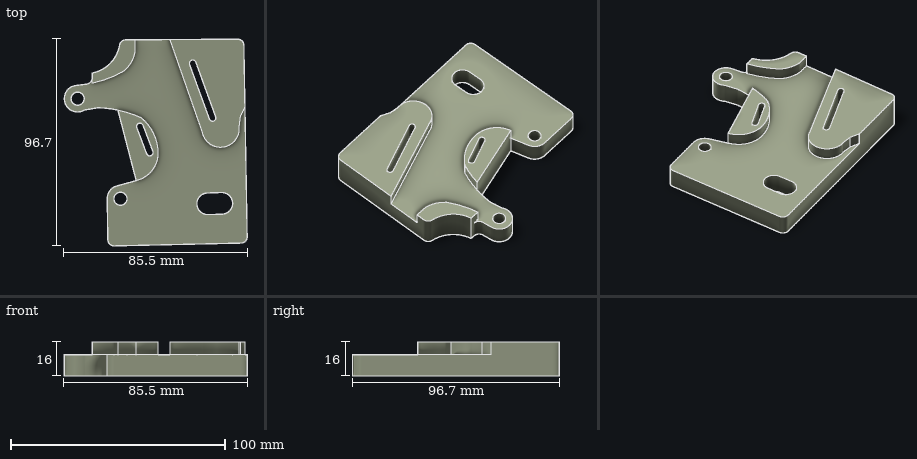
import cadquery as cq
import math

base_height = 10.0
pad_height = 6.0
total_height = base_height + pad_height

corner_top_left = (19.75, 27.5)
corner_top_right = (77.65, 27.87)
corner_bottom_right = (79.3, -67.45)
corner_bottom_left = (14.1, -68.9)
corner_radius = 3.0

arm_hole = (0.0, 0.0)
corner_hole = (20.0, -46.75)
hole_diameter = 6.0
boss_radius = 6.27
corner_boss_end_angle = 105.0
arm_nose_lower_angle = -59.0
arm_nose_upper_angle = 97.0

arm_upper_end = (4.0, 6.8)
arm_fillet_middle = (6.0, 7.8)
arm_fillet_end = (6.8, 9.7)

band_outer_tip = (6.8, 12.0)
band_outer_middle = (15.2, 16.5)
band_inner_tip = (6.8, 7.25)
band_inner_lower_middle = (14.5, 9.5)
band_inner_bend = (21.6, 12.9)
band_inner_upper_middle = (25.0, 16.9)
band_inner_end = (26.8, 21.8)

notch_start = (9.5, -4.3)
notch_start_middle = (14.1, -4.63)
notch_pad_top = (18.75, -5.38)
notch_upper_middle = (24.3, -6.83)
notch_upper_end = (29.6, -8.85)
notch_side_middle = (35.2, -15.7)
notch_deepest = (37.6, -25.4)
notch_lower_middle = (34.6, -33.8)
notch_end = (27.3, -38.25)

pad_edge_top = (43.1, 27.6)
pad_arc_start = (58.2, -15.6)
pad_arc_middle = (66.6, -22.72)
pad_arc_end = (75.4, -13.0)
pad_neck = (76.0, -8.3)
pad_side_end = (78.1, -4.0)

narrow_slot_width = 3.0
pad_slot_ends = ((53.75, 16.5), (63.0, -9.0))
notch_slot_ends = ((29.1, -13.0), (33.7, -25.2))
plate_slot_ends = ((60.75, -49.1), (67.35, -48.9))
plate_slot_width = 10.0

margin = 5.0


def on_boss(centre, angle):
    """Point on the boss circle about a hole, at an angle in degrees from +X."""
    turn = math.radians(angle)
    return (
        centre[0] + boss_radius * math.cos(turn),
        centre[1] + boss_radius * math.sin(turn),
    )


def add_notch_curve(outline):
    """Continue an outline from the top corner of the notch pad to the end of the notch."""
    return (
        outline.threePointArc(notch_upper_middle, notch_upper_end)
        .threePointArc(notch_side_middle, notch_deepest)
        .threePointArc(notch_lower_middle, notch_end)
    )


def make_plate(height):
    """The plate outline with arm, notch and rounded corners, extruded to a height."""
    boss_middle_angle = (180 + corner_boss_end_angle) / 2
    plate = (
        cq.Workplane("XY")
        .moveTo(*on_boss(arm_hole, arm_nose_lower_angle))
        .lineTo(*notch_start)
        .threePointArc(notch_start_middle, notch_pad_top)
    )
    plate = (
        add_notch_curve(plate)
        .lineTo(*on_boss(corner_hole, corner_boss_end_angle))
        .threePointArc(on_boss(corner_hole, boss_middle_angle), on_boss(corner_hole, 180))
        .lineTo(*corner_bottom_left)
        .lineTo(*corner_bottom_right)
        .lineTo(*corner_top_right)
        .lineTo(*corner_top_left)
        .threePointArc(band_outer_middle, band_outer_tip)
        .lineTo(*arm_fillet_end)
        .threePointArc(arm_fillet_middle, arm_upper_end)
        .lineTo(*on_boss(arm_hole, arm_nose_upper_angle))
        .threePointArc(on_boss(arm_hole, 180), on_boss(arm_hole, arm_nose_lower_angle))
        .close()
        .extrude(height)
    )
    for x, y in (corner_top_left, corner_top_right, corner_bottom_right, corner_bottom_left):
        corner_edge = cq.selectors.NearestToPointSelector((x, y, height / 2))
        plate = plate.edges("|Z").edges(corner_edge).fillet(corner_radius)
    return plate


def make_band_area():
    """Area of the curved pad, open past the plate's outer edge."""
    top = corner_top_left[1] + margin
    return (
        cq.Workplane("XY")
        .moveTo(*band_inner_tip)
        .threePointArc(band_inner_lower_middle, band_inner_bend)
        .threePointArc(band_inner_upper_middle, band_inner_end)
        .lineTo(band_inner_end[0], top)
        .lineTo(band_inner_tip[0], top)
        .close()
        .extrude(total_height)
    )


def make_large_pad_area():
    """Area of the large pad, open past the plate's top and right sides."""
    top = corner_top_right[1] + margin
    right = corner_bottom_right[0] + margin
    edge_slope = (pad_arc_start[0] - pad_edge_top[0]) / (pad_arc_start[1] - pad_edge_top[1])
    edge_x_at_top = pad_edge_top[0] + edge_slope * (top - pad_edge_top[1])
    return (
        cq.Workplane("XY")
        .moveTo(edge_x_at_top, top)
        .lineTo(*pad_arc_start)
        .threePointArc(pad_arc_middle, pad_arc_end)
        .lineTo(*pad_neck)
        .lineTo(*pad_side_end)
        .lineTo(right, pad_side_end[1])
        .lineTo(right, top)
        .close()
        .extrude(total_height)
    )


def make_notch_pad():
    """Full-height pad between the notch curve and its straight outer face."""
    outline = cq.Workplane("XY").moveTo(*notch_pad_top)
    return add_notch_curve(outline).close().extrude(total_height)


def make_slot(ends, width):
    """Round-ended cutter through the full height."""
    (x0, y0), (x1, y1) = ends
    overall_length = math.hypot(x1 - x0, y1 - y0) + width
    angle = math.degrees(math.atan2(y1 - y0, x1 - x0))
    return (
        cq.Workplane("XY")
        .center((x0 + x1) / 2, (y0 + y1) / 2)
        .slot2D(overall_length, width, angle)
        .extrude(total_height)
    )


plate = make_plate(base_height)
raised_pads = make_plate(total_height).intersect(make_band_area().union(make_large_pad_area()))
result = plate.union(raised_pads).union(make_notch_pad())

for ends, width in (
    (pad_slot_ends, narrow_slot_width),
    (notch_slot_ends, narrow_slot_width),
    (plate_slot_ends, plate_slot_width),
):
    result = result.cut(make_slot(ends, width))

holes = (
    cq.Workplane("XY")
    .pushPoints([arm_hole, corner_hole])
    .circle(hole_diameter / 2)
    .extrude(total_height)
)
result = result.cut(holes)